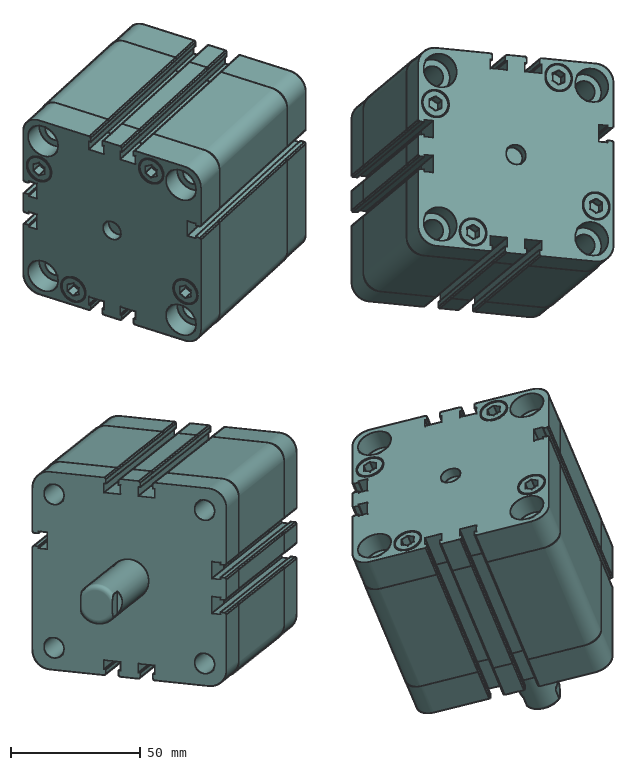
import cadquery as cq
import math

total_length = 117.5
body_side = 80.0
cap_length = 14.2
cap_corner_radius = 7.3
barrel_inset = 0.06
barrel_corner_radius = 6.6

slot_neck_width = 5.2
slot_channel_width = 6.8
slot_neck_depth = 2.5
slot_depth = 6.1
slot_lip_chamfer = 0.6
slot_pair_offset = 7.0
single_slot_offset = 12.0

mount_offset = 31.0
mount_diameter = 8.2
mount_recess_diameter = 13.5
mount_recess_depth = 8.5

screw_near = 17.5
screw_far = 32.9
screw_recess_diameter = 11.0
screw_head_diameter = 10.5
screw_recess_depth = 0.5
hex_across_flats = 5.0
hex_depth = 4.7

centre_hole_diameter = 8.0
centre_hole_depth = 4.2

rod_diameter = 16.0
rod_end_radius = 2.0
flat_distance = 13.0
flat_length = 5.9


def front_plane(y=0.0):
    """Sketch plane facing -Y: local x is X, local y is Z."""
    return cq.Workplane("XZ", origin=(0, y, 0))


def bore(diameter, depth, points):
    """Cylinders that start at the front face and reach back along +Y."""
    return front_plane().pushPoints(points).circle(diameter / 2).extrude(-depth)


def make_slot(side, offset, length):
    """Slot in the top face of a square profile, centred on X = offset, with chamfered lips."""
    top = side / 2
    neck = slot_neck_width / 2
    channel = slot_channel_width / 2
    right_half = [
        (neck + slot_lip_chamfer, top),
        (neck, top - slot_lip_chamfer),
        (neck, top - slot_neck_depth),
        (channel, top - slot_neck_depth),
        (channel, top - slot_depth),
    ]
    left_half = [(-x, z) for x, z in reversed(right_half)]
    outline = front_plane().center(offset, 0).polyline(right_half + left_half).close()
    return outline.extrude(-length)


def make_section(start, length, side, corner_radius):
    """One length of the slotted square profile, its front end at Y = start."""
    block = front_plane().rect(side, side).extrude(-length)
    block = block.edges("|Y").fillet(corner_radius)
    pair = make_slot(side, -slot_pair_offset, length).union(make_slot(side, slot_pair_offset, length))
    for turn in (0, 180, 270):
        block = block.cut(pair.rotate((0, 0, 0), (0, 1, 0), turn))
    single = make_slot(side, -single_slot_offset, length)
    block = block.cut(single.rotate((0, 0, 0), (0, 1, 0), 90))
    return block.translate((0, start, 0))


def make_body():
    barrel_length = body_side - 2 * cap_length
    barrel_side = body_side - 2 * barrel_inset
    front_cap = make_section(0, cap_length, body_side, cap_corner_radius)
    barrel = make_section(cap_length, barrel_length, barrel_side, barrel_corner_radius)
    rear_cap = front_cap.translate((0, body_side - cap_length, 0))
    return front_cap.union(barrel).union(rear_cap)


def cut_mounting_holes(body):
    signs = (-1, 1)
    corners = [(sx * mount_offset, sz * mount_offset) for sx in signs for sz in signs]
    body = body.cut(bore(mount_diameter, body_side, corners))
    return body.cut(bore(mount_recess_diameter, mount_recess_depth, corners))


def cut_screws(body):
    """A ring-shaped gap around each flush screw head, and its hexagon socket."""
    centres = [
        (screw_near, screw_far),
        (screw_far, -screw_near),
        (-screw_near, -screw_far),
        (-screw_far, screw_near),
    ]
    recesses = bore(screw_recess_diameter, screw_recess_depth, centres)
    heads = bore(screw_head_diameter, screw_recess_depth, centres)
    body = body.cut(recesses.cut(heads))
    hex_radius = hex_across_flats / 2 / math.cos(math.pi / 6)
    corner_angles = [math.pi / 6 + i * math.pi / 3 for i in range(6)]
    hexagon = [(hex_radius * math.cos(a), hex_radius * math.sin(a)) for a in corner_angles]
    for x, z in centres:
        socket = front_plane().center(x, z).polyline(hexagon).close().extrude(-hex_depth)
        body = body.cut(socket)
    return body


def make_rod():
    """Round rod with a rounded end and two flats whose run-outs slope at 45 degrees."""
    rod = front_plane(body_side).circle(rod_diameter / 2).extrude(body_side - total_length)
    rod = rod.faces(">Y").fillet(rod_end_radius)
    inner = flat_distance / 2
    outer = rod_diameter / 2
    flat_start = total_length - flat_length
    run_out_start = flat_start - (outer - inner)
    side_outline = [
        (inner, total_length),
        (inner, flat_start),
        (outer, run_out_start),
        (outer, total_length),
    ]
    flat_cut = cq.Workplane("XY").polyline(side_outline).close().extrude(outer, both=True)
    return rod.cut(flat_cut).cut(flat_cut.mirror("YZ"))


body = cut_mounting_holes(make_body())
body = cut_screws(body)
body = body.cut(bore(centre_hole_diameter, centre_hole_depth, [(0, 0)]))
result = body.union(make_rod())